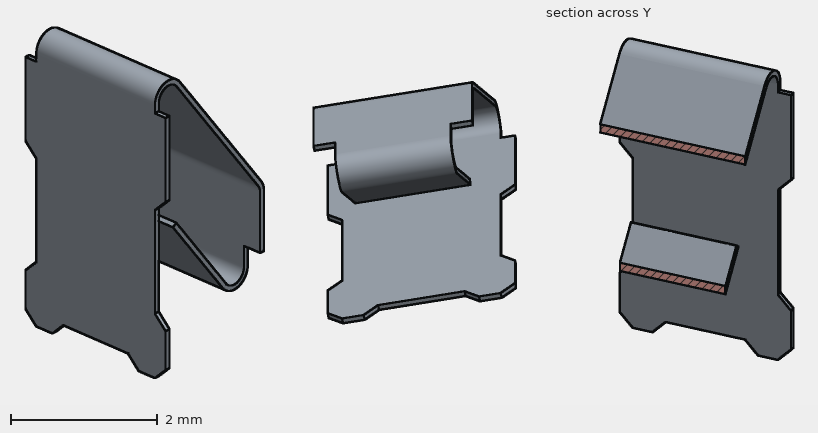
import cadquery as cq
import math

sheet = 0.08
height = 4.5
depth = 2.2

strip_width = 2.2
tab_width = 2.6
tail_width = 1.6

shoulder_z = 4.1
upper_tab_bottom_z = 2.8
lower_tab_top_z = 0.8
chamfer = 0.2
foot_width = 0.3

inner_radius = 0.2
outer_radius = inner_radius + sheet
slope = math.atan2(4, 3)
bend = math.pi / 2 - slope

tail_step_z = 1.1
tail_bottom_z = 0.5
tail_tip_z = 2.0

top_centre = (outer_radius, height - outer_radius)
rear_centre_y = depth - outer_radius
arm_drop = (rear_centre_y - top_centre[0]) * math.tan(slope)
rear_centre = (rear_centre_y, top_centre[1] - arm_drop)
tail_centre = (rear_centre_y, tail_bottom_z + outer_radius)


def on_bend(centre, radius, angle):
    """Point on a bend, with the angle measured from +Y towards +Z."""
    return (centre[0] + radius * math.cos(angle), centre[1] + radius * math.sin(angle))


def sweep(centre, radius, start_angle, end_angle):
    """Middle and end points of a bend's arc, for threePointArc."""
    middle_angle = (start_angle + end_angle) / 2
    return on_bend(centre, radius, middle_angle), on_bend(centre, radius, end_angle)


def make_plate():
    """Flat plate with two pairs of side tabs and a notched bottom edge."""
    strip_x = strip_width / 2
    tab_x = tab_width / 2
    notch_x = strip_x - foot_width
    right_half = [
        (strip_x, shoulder_z),
        (tab_x, shoulder_z),
        (tab_x, upper_tab_bottom_z),
        (strip_x, upper_tab_bottom_z - chamfer),
        (strip_x, lower_tab_top_z + chamfer),
        (tab_x, lower_tab_top_z),
        (tab_x, chamfer),
        (strip_x, 0),
        (notch_x, 0),
        (notch_x - chamfer, chamfer),
    ]
    left_half = [(-x, z) for x, z in reversed(right_half)]
    return cq.Workplane("XZ").polyline(right_half + left_half).close().extrude(-sheet)


def make_arm():
    """Full-width strip from the plate's shoulder over the top fold to the rear step."""
    return (
        cq.Workplane("YZ")
        .moveTo(0, shoulder_z)
        .lineTo(*on_bend(top_centre, outer_radius, math.pi))
        .threePointArc(*sweep(top_centre, outer_radius, math.pi, bend))
        .lineTo(*on_bend(rear_centre, outer_radius, bend))
        .threePointArc(*sweep(rear_centre, outer_radius, bend, 0))
        .lineTo(depth, tail_step_z)
        .lineTo(depth - sheet, tail_step_z)
        .lineTo(*on_bend(rear_centre, inner_radius, 0))
        .threePointArc(*sweep(rear_centre, inner_radius, 0, bend))
        .lineTo(*on_bend(top_centre, inner_radius, bend))
        .threePointArc(*sweep(top_centre, inner_radius, bend, math.pi))
        .lineTo(sheet, shoulder_z)
        .close()
        .extrude(strip_width / 2, both=True)
    )


def make_tail():
    """Narrow strip from the rear step, around the bottom bend and up to the square-cut tip."""
    end_angle = bend - math.pi
    inner_end = on_bend(tail_centre, inner_radius, end_angle)
    outer_end = on_bend(tail_centre, outer_radius, end_angle)
    tip_rise = tail_tip_z - inner_end[1]
    tip_run = tip_rise / math.tan(slope)
    return (
        cq.Workplane("YZ")
        .moveTo(depth, tail_step_z)
        .lineTo(*on_bend(tail_centre, outer_radius, 0))
        .threePointArc(*sweep(tail_centre, outer_radius, 0, end_angle))
        .lineTo(outer_end[0] - tip_run, outer_end[1] + tip_rise)
        .lineTo(inner_end[0] - tip_run, inner_end[1] + tip_rise)
        .lineTo(*inner_end)
        .threePointArc(*sweep(tail_centre, inner_radius, end_angle, 0))
        .lineTo(depth - sheet, tail_step_z)
        .close()
        .extrude(tail_width / 2, both=True)
    )


result = make_plate().union(make_arm()).union(make_tail())